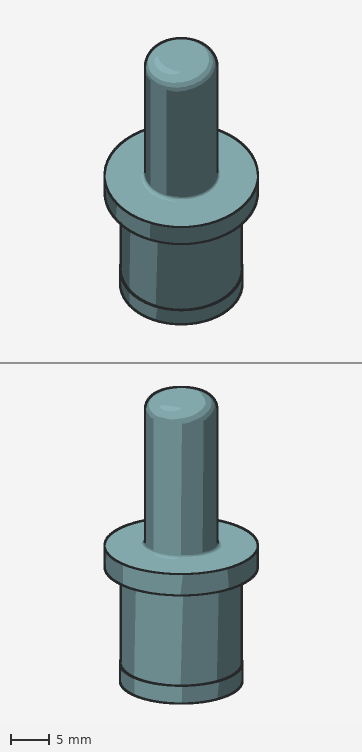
import cadquery as cq

PIN_DIAMETER = 9.5
PIN_HEIGHT = 21.0
PIN_TIP_RADIUS = 2.0
PIN_ROOT_RADIUS = 0.5

FLANGE_DIAMETER = 20.0
FLANGE_THICKNESS = 3.0

SHANK_DIAMETER = 15.8
SHANK_LENGTH = 16.0
SHANK_ROOT_RADIUS = 1.0

BAND_DIAMETER = 16.0
BAND_HEIGHT = 2.5


def cylinder(diameter, bottom, height):
    """Upright cylinder centred on the Z axis."""
    return cq.Workplane("XY").workplane(offset=bottom).circle(diameter / 2).extrude(height)


def root_fillet(diameter, radius, face_height, direction):
    """Concave ring blending a cylinder into a flat face.

    The ring grows away from the face: direction is +1 for up and -1 for down.
    """
    inner = diameter / 2
    ring_end = face_height + direction * radius
    profile = (
        cq.Workplane("XZ")
        .moveTo(0, face_height)
        .lineTo(inner + radius, face_height)
        .radiusArc((inner, ring_end), direction * radius)
        .lineTo(0, ring_end)
        .close()
    )
    return profile.revolve(360, (0, 0, 0), (0, 1, 0))


def make_pin():
    pin = cylinder(PIN_DIAMETER, FLANGE_THICKNESS, PIN_HEIGHT).faces(">Z").edges().fillet(PIN_TIP_RADIUS)
    return pin.union(root_fillet(PIN_DIAMETER, PIN_ROOT_RADIUS, FLANGE_THICKNESS, 1))


def make_shank():
    shank = cylinder(SHANK_DIAMETER, -SHANK_LENGTH, SHANK_LENGTH)
    band = cylinder(BAND_DIAMETER, -SHANK_LENGTH, BAND_HEIGHT)
    return shank.union(band).union(root_fillet(SHANK_DIAMETER, SHANK_ROOT_RADIUS, 0, -1))


flange = cylinder(FLANGE_DIAMETER, 0, FLANGE_THICKNESS)
result = flange.union(make_pin()).union(make_shank())